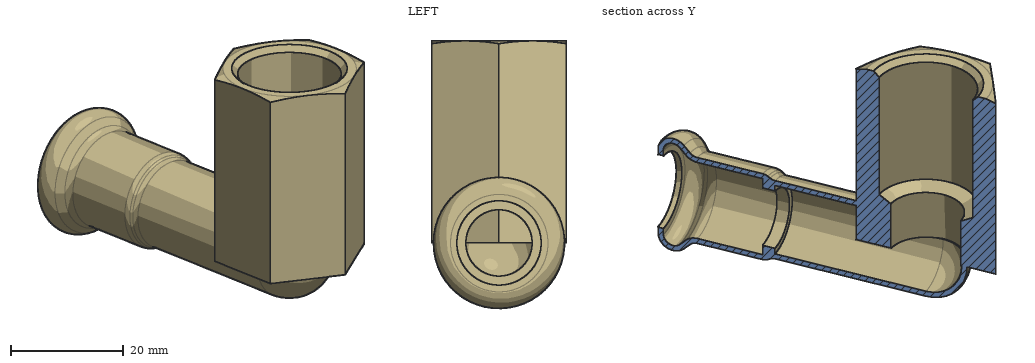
import cadquery as cq
import math

total_length = 66.85
hex_across_flats = 24.0
hex_across_corners = hex_across_flats / math.cos(math.radians(30))
hex_height = 36.05
hex_axis_x = total_length - hex_across_corners / 2

wall = 1.15
tube_radius = 16.4 / 2
socket_radius = 18.0 / 2
rim_arc_radius = 3.0
rim_centre = (rim_arc_radius, 8.7)
rim_slope = 45.0
blend_radius = 2.0
step_start_x = 20.7
step_slope = 30.0
bore_radius = tube_radius - wall
seat_radius = socket_radius - wall

mouth_radius = 15.05 / 2
collar_radius = 11.85 / 2

thread_radius = 18.45 / 2
thread_mouth_radius = 20.6 / 2
thread_mouth_depth = 1.1
thread_depth = 25.4
outlet_radius = 13.8 / 2
drill_cone_depth = 1.35
corner_chamfer_radius = 23.8 / 2
corner_chamfer_angle = 15.0


def arc_point(centre, radius, degrees):
    angle = math.radians(degrees)
    return (centre[0] + radius * math.cos(angle), centre[1] + radius * math.sin(angle))


def tangent_run(radii_sum, centre_rise, slope):
    """Axial distance between the centres of two opposite arcs joined by a tangent line."""
    angle = math.radians(slope)
    line_drop = radii_sum * math.cos(angle) - centre_rise
    return radii_sum * math.sin(angle) + line_drop / math.tan(angle)


neck_centre_rise = socket_radius + blend_radius - rim_centre[1]
neck_centre = (
    rim_centre[0] + tangent_run(rim_arc_radius + blend_radius, neck_centre_rise, rim_slope),
    socket_radius + blend_radius,
)
shoulder_centre = (step_start_x, socket_radius - blend_radius)
root_centre_rise = tube_radius - socket_radius + 2 * blend_radius
step_end_x = step_start_x + tangent_run(2 * blend_radius, root_centre_rise, step_slope)
root_centre = (step_end_x, tube_radius + blend_radius)


def revolve_about_x(profile):
    return profile.close().revolve(360, (0, 0, 0), (1, 0, 0))


def revolve_about_hex_axis(points):
    profile = cq.Workplane("XZ").polyline(points).close()
    return profile.revolve(360, (0, 0, 0), (0, 1, 0)).translate((hex_axis_x, 0, 0))


def ball(radius):
    return cq.Workplane("XY").sphere(radius).translate((hex_axis_x, 0, 0))


def add_rim_and_neck(profile, inset):
    """Continue a profile over the rim and down the neck, inset from the outer skin."""
    rim_radius = rim_arc_radius - inset
    neck_radius = blend_radius + inset
    return (
        profile.threePointArc(
            arc_point(rim_centre, rim_radius, 135 - rim_slope / 2),
            arc_point(rim_centre, rim_radius, 90 - rim_slope),
        )
        .lineTo(*arc_point(neck_centre, neck_radius, 270 - rim_slope))
        .threePointArc(
            arc_point(neck_centre, neck_radius, 270 - rim_slope / 2),
            arc_point(neck_centre, neck_radius, 270),
        )
    )


def tube_outside():
    profile = cq.Workplane("XY").lineTo(0, rim_centre[1])
    profile = (
        add_rim_and_neck(profile, 0)
        .lineTo(step_start_x, socket_radius)
        .threePointArc(
            arc_point(shoulder_centre, blend_radius, 90 - step_slope / 2),
            arc_point(shoulder_centre, blend_radius, 90 - step_slope),
        )
        .lineTo(*arc_point(root_centre, blend_radius, 270 - step_slope))
        .threePointArc(
            arc_point(root_centre, blend_radius, 270 - step_slope / 2),
            (step_end_x, tube_radius),
        )
        .lineTo(hex_axis_x, tube_radius)
        .lineTo(hex_axis_x, 0)
    )
    return revolve_about_x(profile).union(ball(tube_radius))


def tube_cavity():
    profile = (
        cq.Workplane("XY")
        .lineTo(0, mouth_radius)
        .lineTo(wall, mouth_radius)
        .lineTo(wall, rim_centre[1])
    )
    profile = (
        add_rim_and_neck(profile, wall)
        .lineTo(step_start_x, seat_radius)
        .lineTo(step_start_x, collar_radius)
        .lineTo(step_end_x, collar_radius)
        .lineTo(step_end_x, bore_radius)
        .lineTo(hex_axis_x, bore_radius)
        .lineTo(hex_axis_x, 0)
    )
    return revolve_about_x(profile).union(ball(bore_radius))


def hex_outside():
    prism = cq.Workplane("XY").polygon(6, hex_across_corners).extrude(hex_height)
    corner_radius = hex_across_corners / 2
    chamfer_drop = (corner_radius - corner_chamfer_radius) * math.tan(math.radians(corner_chamfer_angle))
    envelope = revolve_about_hex_axis([
        (0, 0),
        (corner_radius, 0),
        (corner_radius, hex_height - chamfer_drop),
        (corner_chamfer_radius, hex_height),
        (0, hex_height),
    ])
    return prism.translate((hex_axis_x, 0, 0)).intersect(envelope)


def hex_cavity():
    thread_bottom = hex_height - thread_depth
    return revolve_about_hex_axis([
        (0, 0),
        (outlet_radius, 0),
        (outlet_radius, thread_bottom - drill_cone_depth),
        (thread_radius, thread_bottom),
        (thread_radius, hex_height - thread_mouth_depth),
        (thread_mouth_radius, hex_height),
        (0, hex_height),
    ])


hollow_tube = tube_outside().cut(tube_cavity())
result = hollow_tube.union(hex_outside()).cut(hex_cavity())